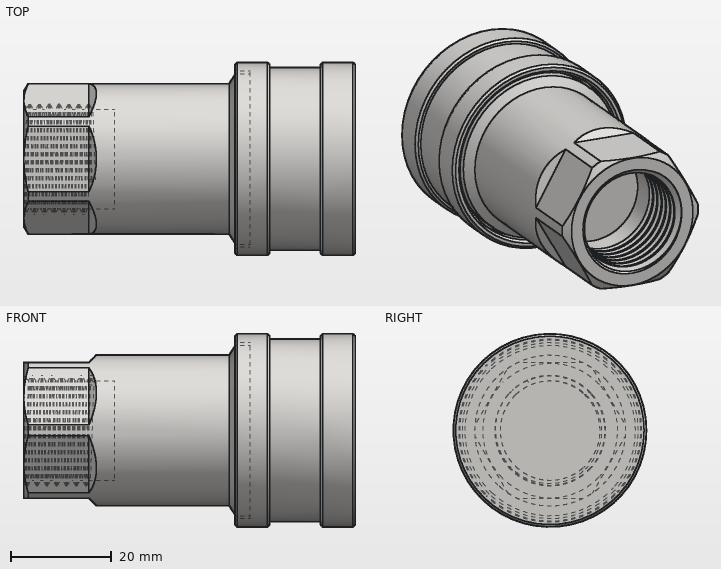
import cadquery as cq
import math


total_length = 66.0
body_radius = 15.0
entry_chamfer_radial = 1.6
entry_chamfer_length = entry_chamfer_radial * math.tan(math.radians(30))

across_flats = 27.0
flat_length = 13.0
flat_count = 6

sleeve_start = 42.0
band_radius = 38.45 / 2
band_length = 7.0
waist_radius = 18.2
band_chamfer = 0.5

shoulder_start = 40.9
shoulder_end = 42.1
shoulder_radius = 16.95

gap_radius = 17.5
gap_depth = 3.0
gap_chamfer = 0.5

bore_radius = 9.9
bore_depth = 18.0
bore_chamfer = 0.98
thread_pitch = 1.95
thread_crest = 0.5
thread_half_angle = math.radians(30)
thread_end = 13.5
thread_start_angle = 232.0
thread_root_radius = 11.0
groove_overlap = 0.1


def revolve_about_x(points):
    """Solid of revolution about the X axis from (x, radius) points."""
    return cq.Workplane("XY").polyline(points).close().revolve(360, (0, 0, 0), (1, 0, 0))


def make_body():
    return revolve_about_x(
        [
            (0, 0),
            (0, body_radius - entry_chamfer_radial),
            (entry_chamfer_length, body_radius),
            (shoulder_start, body_radius),
            (shoulder_end, shoulder_radius),
            (total_length, shoulder_radius),
            (total_length, 0),
        ]
    )


def make_band(start):
    """One raised band of the sleeve, chamfered on both outer edges."""
    band = cq.Workplane("YZ", origin=(start, 0, 0)).circle(band_radius).extrude(band_length)
    return band.edges().chamfer(band_chamfer)


def make_sleeve():
    waist = cq.Workplane("YZ", origin=(sleeve_start, 0, 0)).circle(waist_radius)
    sleeve = waist.extrude(total_length - sleeve_start - band_chamfer)
    for start in (sleeve_start, total_length - band_length):
        sleeve = sleeve.union(make_band(start))
    gap_end = sleeve_start + gap_depth
    gap = revolve_about_x(
        [
            (sleeve_start, 0),
            (sleeve_start, gap_radius + gap_chamfer),
            (sleeve_start + gap_chamfer, gap_radius),
            (gap_end, gap_radius),
            (gap_end, 0),
        ]
    )
    return sleeve.cut(gap)


def cut_wrench_flats(part):
    flat_height = across_flats / 2
    runout = body_radius - flat_height
    profile = [
        (0, flat_height),
        (flat_length, flat_height),
        (flat_length + runout, body_radius),
        (flat_length + runout, 2 * body_radius),
        (0, 2 * body_radius),
    ]
    cutter = cq.Workplane("XZ").polyline(profile).close().extrude(body_radius, both=True)
    for index in range(flat_count):
        part = part.cut(cutter.rotate((0, 0, 0), (1, 0, 0), index * 360 / flat_count))
    return part


def make_bore():
    return cq.Workplane("YZ").circle(bore_radius).extrude(bore_depth)


def make_bore_chamfer():
    """45 degree cone that opens the bore and the first thread turn at the face."""
    mouth_radius = bore_radius + bore_chamfer
    return revolve_about_x([(0, 0), (0, mouth_radius), (mouth_radius, 0)])


def make_thread_groove():
    """Right-hand V groove wound along +X, entering one pitch outside the face."""
    slope = math.tan(thread_half_angle)
    inner_radius = bore_radius - groove_overlap
    crest_half_width = (thread_pitch - thread_crest) / 2
    inner_half_width = crest_half_width + groove_overlap * slope
    root_half_width = crest_half_width - (thread_root_radius - bore_radius) * slope
    helix = cq.Wire.makeHelix(thread_pitch, thread_end + thread_pitch, bore_radius)
    profile = (
        cq.Workplane("XZ")
        .moveTo(inner_radius, -inner_half_width)
        .lineTo(thread_root_radius, -root_half_width)
        .lineTo(thread_root_radius, root_half_width)
        .lineTo(inner_radius, inner_half_width)
        .close()
    )
    groove = profile.sweep(cq.Workplane(helix), isFrenet=True)
    groove = groove.rotate((0, 0, 0), (0, 0, 1), thread_start_angle)
    return groove.rotate((0, 0, 0), (0, 1, 0), 90).translate((-thread_pitch, 0, 0))


result = cut_wrench_flats(make_body()).union(make_sleeve())
result = result.cut(make_bore()).cut(make_thread_groove())
result = result.cut(make_bore_chamfer())